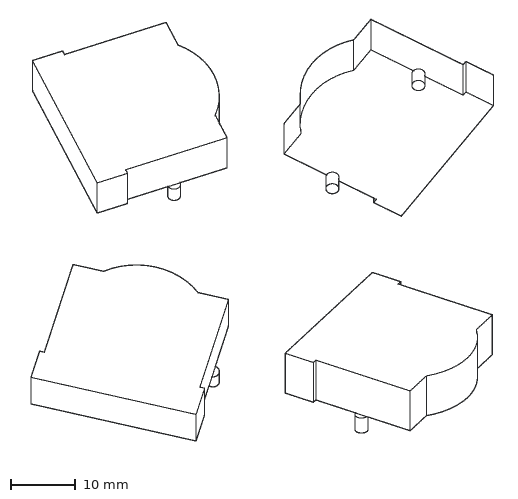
import cadquery as cq

overall_width = 26.67
overall_depth = 24.87
overall_height = 10.16

body_width = 24.89
body_depth = 22.0
body_height = 7.37

front_width = 26.42
front_depth = 5.08

bulge_chord = 15.1

pin_diameter = 2.03
pin_y = 13.2
pin_length = overall_height - body_height
pin_x = (overall_width - pin_diameter) / 2


def make_housing():
    """Stepped block with an arc-shaped bulge at the back; its underside is at Z = 0."""
    half_front = front_width / 2
    half_body = body_width / 2
    half_chord = bulge_chord / 2
    return (
        cq.Workplane("XY")
        .moveTo(-half_front, 0)
        .lineTo(half_front, 0)
        .lineTo(half_front, front_depth)
        .lineTo(half_body, front_depth)
        .lineTo(half_body, body_depth)
        .lineTo(half_chord, body_depth)
        .threePointArc((0, overall_depth), (-half_chord, body_depth))
        .lineTo(-half_body, body_depth)
        .lineTo(-half_body, front_depth)
        .lineTo(-half_front, front_depth)
        .close()
        .extrude(body_height)
    )


def make_pins():
    """Two round pins hanging from the underside, each half outside the side walls."""
    return (
        cq.Workplane("XY")
        .pushPoints([(-pin_x, pin_y), (pin_x, pin_y)])
        .circle(pin_diameter / 2)
        .extrude(-pin_length)
    )


result = make_housing().union(make_pins())